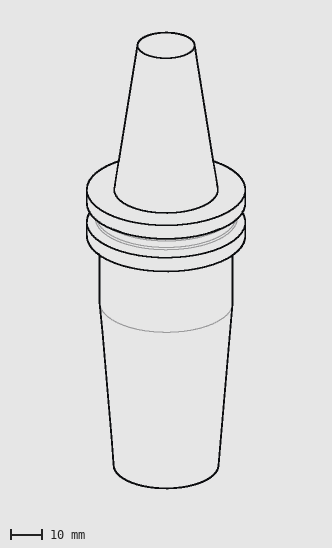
import cadquery as cq

total_length = 147.8
nose_cone_top = 57.3
flange_bottom = 80.7
flange_top = 97.0

nose_tip_diameter = 33.1
body_diameter = 42.0
flange_diameter = 50.0
groove_diameter = 44.0
shank_base_diameter = 32.7
shank_tip_diameter = 18.0

groove_floor_bottom = 87.3
groove_floor_top = 90.5
groove_chamfer = 1.8
groove_fillet_radius = 0.7

body_fillet_radius = 1.6

flange_radius = flange_diameter / 2
groove_radius = groove_diameter / 2

profile = (
    cq.Workplane("XZ")
    .moveTo(0, 0)
    .lineTo(nose_tip_diameter / 2, 0)
    .lineTo(body_diameter / 2, nose_cone_top)
    .lineTo(body_diameter / 2, flange_bottom)
    .lineTo(flange_radius, flange_bottom)
    .lineTo(flange_radius, groove_floor_bottom - groove_chamfer)
    .lineTo(groove_radius, groove_floor_bottom)
    .lineTo(groove_radius, groove_floor_top)
    .lineTo(flange_radius, groove_floor_top + groove_chamfer)
    .lineTo(flange_radius, flange_top)
    .lineTo(shank_base_diameter / 2, flange_top)
    .lineTo(shank_tip_diameter / 2, total_length)
    .lineTo(0, total_length)
    .close()
)

turned_body = profile.revolve(360, (0, 0, 0), (0, 1, 0))


def circular_edge(radius, height):
    """Selector for the full circular edge of the given radius and height."""
    tolerance = 0.01
    reach = radius + tolerance
    return cq.selectors.BoxSelector(
        (-reach, -reach, height - tolerance),
        (reach, reach, height + tolerance),
        boundingbox=True,
    )


result = turned_body
for floor_height in (groove_floor_bottom, groove_floor_top):
    result = result.edges(circular_edge(groove_radius, floor_height)).fillet(groove_fillet_radius)
result = result.edges(circular_edge(body_diameter / 2, flange_bottom)).fillet(body_fillet_radius)